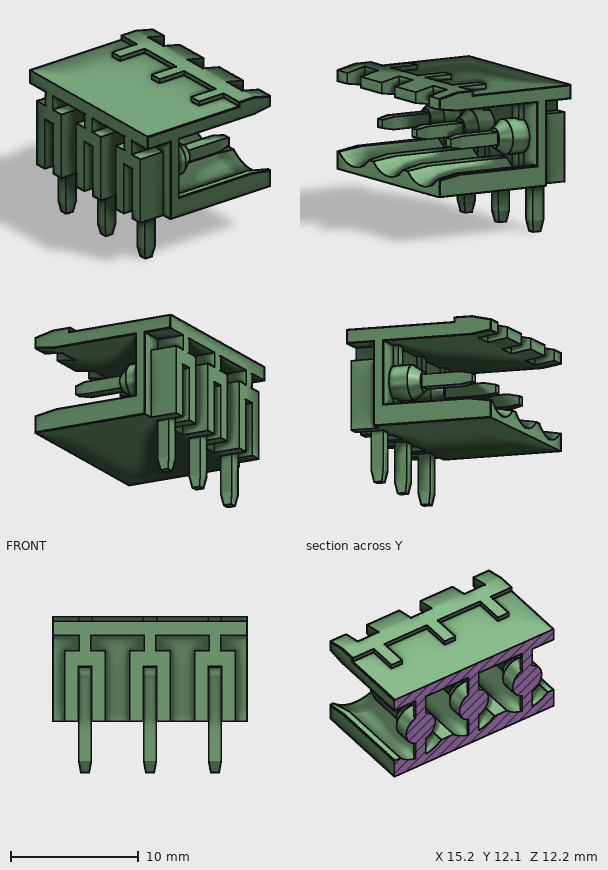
import cadquery as cq


width = 15.24
depth = 12.1
height = 8.2
pole_count = 3
pitch = width / pole_count
pole_places = [(i - (pole_count - 1) / 2) * pitch for i in range(pole_count)]
edge_break = 0.058

bar_height = 0.37
plate_top = height - bar_height
plate_bottom = 6.72
web_rear = 2.27
web_front = 3.11
floor_top = 1.68
plate_lead_in = 1.62
plate_tip_bottom = 6.96
floor_lead_in = 1.86
floor_tip_top = 1.39
bar_rear = 9.02

rib_rear = 6.6
rib_width = 1.02
notch_width = 2.0

axis_height = 3.75
channel_radius = 2.85
channel_mouth_radius = 3.23

support_width = 3.14
support_height = 5.52
neck_width = 0.93
slot_width = 1.08
slot_top = 4.31

collar_radius = 1.4
collar_tip_radius = 0.78
collar_shoulder = 4.63
collar_front = 5.5
web_rib_front = 3.54
web_rib_width = 1.0

pin_size = 1.0
pin_tip_size = 0.65
taper_length = 0.93
pin_front = 9.7
pin_bottom = -4.01


def block(x_size, y_range, z_range, x=0.0):
    """Box centred on x, spanning the given Y and Z ranges."""
    size_y = y_range[1] - y_range[0]
    size_z = z_range[1] - z_range[0]
    box = cq.Workplane("XY").box(x_size, size_y, size_z, centered=(True, False, False))
    return box.translate((x, y_range[0], z_range[0]))


def make_turned(x, outline):
    """Solid of revolution about the pin axis at x, through (Y, radius) points."""
    points = [(y, axis_height + radius) for y, radius in outline]
    points.insert(0, (outline[0][0], axis_height))
    points.append((outline[-1][0], axis_height))
    turned = (
        cq.Workplane("YZ")
        .polyline(points)
        .close()
        .revolve(360, (0, axis_height, 0), (1, axis_height, 0))
    )
    return turned.translate((x, 0, 0))


def make_shell():
    """C-shaped side profile across the full width, with its end edges broken."""
    profile = [
        (0, plate_bottom),
        (0, plate_top),
        (bar_rear, plate_top),
        (bar_rear, height),
        (depth - plate_lead_in, height),
        (depth, plate_top),
        (depth, plate_tip_bottom),
        (depth - plate_lead_in, plate_bottom),
        (web_front, plate_bottom),
        (web_front, floor_top),
        (depth - floor_lead_in, floor_top),
        (depth, floor_tip_top),
        (depth, 0),
        (web_rear, 0),
        (web_rear, plate_bottom),
    ]
    shell = cq.Workplane("YZ").polyline(profile).close().extrude(width / 2, both=True)
    return shell.faces("<X or >X").edges().chamfer(edge_break)


def make_channel(x):
    """Round groove in the cavity floor around the pin axis, flaring open at the mouth."""
    flare_start = depth - floor_lead_in
    bore = make_turned(x, [
        (web_front, channel_radius),
        (flare_start, channel_radius),
        (depth, channel_mouth_radius),
    ])
    below_axis = block(pitch, (web_front, depth), (0, axis_height), x)
    return bore.intersect(below_axis)


def make_support(x):
    """Rear block with a neck up to the plate and a slot for the pin leg."""
    body = block(support_width, (0, web_rear), (0, support_height), x)
    neck = block(neck_width, (0, web_rear), (support_height, plate_bottom), x)
    slot = block(slot_width, (0, web_rear), (0, slot_top), x)
    return body.union(neck).cut(slot)


def make_collar(x):
    """Tapered round collar on the web around the pin."""
    return make_turned(x, [
        (web_rear, collar_radius),
        (collar_shoulder, collar_radius),
        (collar_front, collar_tip_radius),
    ])


def make_web_rib(x):
    """Upright rib on the web, running behind the collar from the floor to the plate."""
    return block(web_rib_width, (web_rear, web_rib_front), (0, plate_bottom), x)


def make_pin(x):
    """Square pin bent down at the web, with both ends tapered."""
    pin_top = axis_height + pin_size / 2
    pin_inside = axis_height - pin_size / 2
    leg_rear = web_rear - pin_size
    leg_end = pin_bottom + taper_length
    arm_end = pin_front - taper_length
    bar = (
        cq.Workplane("YZ")
        .moveTo(leg_rear, leg_end)
        .lineTo(leg_rear, pin_inside)
        .radiusArc((web_rear, pin_top), pin_size)
        .lineTo(arm_end, pin_top)
        .lineTo(arm_end, pin_inside)
        .lineTo(web_rear, pin_inside)
        .lineTo(web_rear, leg_end)
        .close()
        .extrude(pin_size / 2, both=True)
    )
    leg_tip = (
        cq.Workplane("XY", origin=(0, web_rear - pin_size / 2, pin_bottom))
        .rect(pin_tip_size, pin_tip_size)
        .workplane(offset=taper_length)
        .rect(pin_size, pin_size)
        .loft()
    )
    arm_tip = (
        cq.Workplane("XZ", origin=(0, pin_front, axis_height))
        .rect(pin_tip_size, pin_tip_size)
        .workplane(offset=taper_length)
        .rect(pin_size, pin_size)
        .loft()
    )
    return bar.union(leg_tip).union(arm_tip).translate((x, 0, 0))


notch_span = (depth - plate_lead_in, depth)
wall_span = (plate_bottom, height)
rib_span = (rib_rear, bar_rear)
raised_span = (plate_top, height)

result = make_shell()
for place in pole_places:
    result = result.cut(block(notch_width, notch_span, wall_span, place))
    result = result.cut(make_channel(place))
    result = result.union(block(rib_width, rib_span, raised_span, place))
    result = result.union(make_support(place))
    result = result.union(make_web_rib(place))
    result = result.union(make_collar(place))
    result = result.union(make_pin(place))